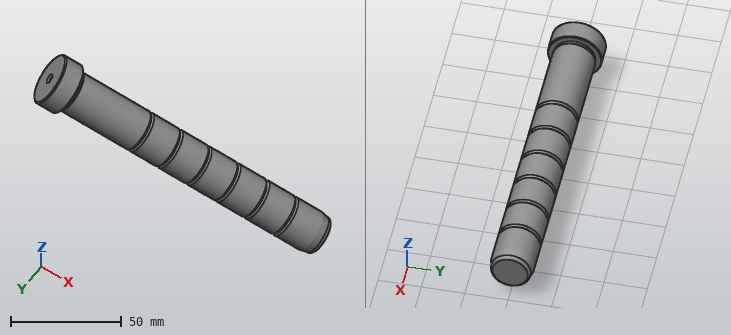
import cadquery as cq
import math

total_length = 150.0
head_diameter = 25.0
head_length = 10.0
outer_chamfer = 0.6
inner_chamfer = 0.5
shaft_radius = 20.0 / 2

undercut_end = 12.0
undercut_depth = 0.3
undercut_ramp = 0.6

groove_count = 6
first_groove_x = 50.0
last_groove_x = 129.9
groove_pitch = (last_groove_x - first_groove_x) / (groove_count - 1)
groove_width = 2.0
groove_depth = 0.8

tip_length = 5.4
tip_step_length = 0.6
tip_step = 0.2
tip_round_length = 1.8
taper_end_radius = 9.2
tip_face_radius = 8.1

bore_radius = 1.4
countersink_radius = 2.2
bore_depth = 7.5
drill_point_angle = 118.0


def make_head():
    head = cq.Workplane("YZ").circle(head_diameter / 2).extrude(head_length)
    head = head.faces("<X").edges().chamfer(outer_chamfer)
    return head.faces(">X").edges().chamfer(inner_chamfer)


def make_shaft():
    """Revolve the undercut, the cylinder and the lead-in tip about X."""
    tip_start = total_length - tip_length
    round_start = total_length - tip_round_length
    undercut_radius = shaft_radius - undercut_depth
    diagonal = math.sqrt(0.5)
    round_middle = (
        round_start + tip_round_length * diagonal,
        tip_face_radius + (taper_end_radius - tip_face_radius) * diagonal,
    )
    profile = (
        cq.Workplane("XY")
        .moveTo(head_length / 2, 0)
        .lineTo(head_length / 2, undercut_radius)
        .lineTo(undercut_end - undercut_ramp, undercut_radius)
        .lineTo(undercut_end, shaft_radius)
        .lineTo(tip_start, shaft_radius)
        .lineTo(tip_start + tip_step_length, shaft_radius - tip_step)
        .lineTo(round_start, taper_end_radius)
        .threePointArc(round_middle, (total_length, tip_face_radius))
        .lineTo(total_length, 0)
        .close()
    )
    return profile.revolve(360, (0, 0, 0), (1, 0, 0))


def make_groove(center_x):
    profile = (
        cq.Workplane("XY")
        .moveTo(center_x, shaft_radius - groove_depth)
        .lineTo(center_x + groove_width, shaft_radius + groove_depth)
        .lineTo(center_x - groove_width, shaft_radius + groove_depth)
        .close()
    )
    return profile.revolve(360, (0, 0, 0), (1, 0, 0))


def make_centre_hole():
    countersink_depth = countersink_radius - bore_radius
    point_length = bore_radius / math.tan(math.radians(drill_point_angle / 2))
    profile = (
        cq.Workplane("XY")
        .moveTo(0, 0)
        .lineTo(0, countersink_radius)
        .lineTo(countersink_depth, bore_radius)
        .lineTo(bore_depth, bore_radius)
        .lineTo(bore_depth + point_length, 0)
        .close()
    )
    return profile.revolve(360, (0, 0, 0), (1, 0, 0))


result = make_head().union(make_shaft())
for index in range(groove_count):
    result = result.cut(make_groove(first_groove_x + index * groove_pitch))
result = result.cut(make_centre_hole())